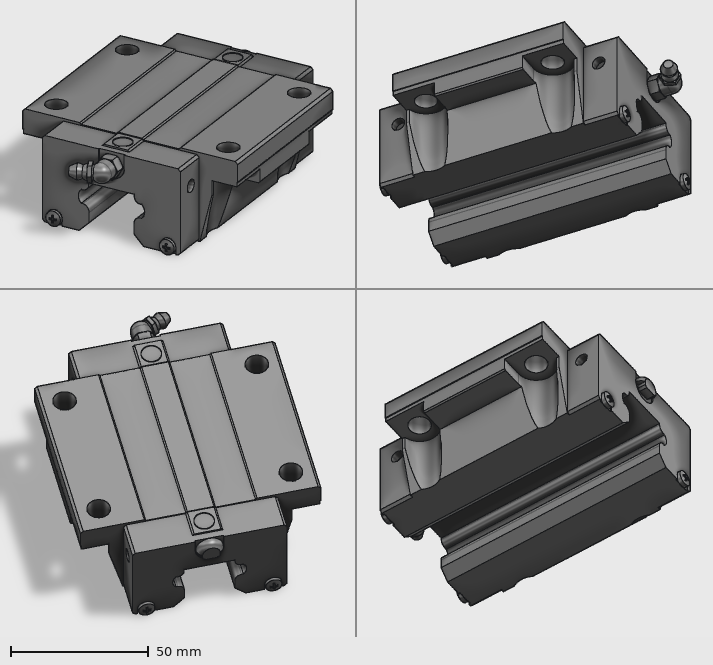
import cadquery as cq
import math


overall_length = 113.5
overall_width = 90.0

block_length = 69.9
block_height = 36.0
block_foot_half_width = 29.2
flange_half_width = overall_width / 2
flange_bottom = 20.2
flange_root_half_width = 34.3
flange_step_height = 27.6
flange_step = 0.3
flange_top_chamfer = 1.0
flange_bottom_chamfer = 0.6

groove_depth = 0.6
groove_outer = 21.1
rib_half_width = 5.0

hole_diameter = 8.5
hole_x = 36.0
hole_y = 26.0
clearance_radius = 8.0
clearance_top = 25.9

channel_top = flange_bottom
channel_top_half_width = 9.5
nose_half_width = 11.9
nose_start = 19.5
race_mouth_half_width = 12.6
race_half_width = 13.8
race_top = 16.8
race_bottom = 11.2
race_height = (race_top + race_bottom) / 2
throat_half_width = 9.4
throat_top = 8.2
throat_bottom = 4.1

end_width = 57.8
end_half_width = end_width / 2
end_height = 35.0
end_chamfer = 1.0
cap_end = 45.5
plate_end = 48.7
cap_rib_height = 35.6
cap_recess_diameter = 7.5
cap_recess_depth = 0.3
cap_recess_y = 40.3
port_diameter = 5.1
port_depth = 3.2
port_y = 41.1
port_z = 25.1

pocket_depth = 0.6
fitting_pocket_radius = 5.3
fitting_z = 29.6
screw_pocket_radius = 3.2

screw_spacing = 47.6
screw_x = screw_spacing / 2
screw_z = 2.7
screw_radius = 3.1
screw_rim_end = 49.8
screw_crown_end = 50.5
crown_fullness = 0.75
cross_length = 3.0
cross_width = 0.7
cross_depth = 0.6

nipple_hex_flats = 8.2
nipple_hex_end = 52.3
hex_corner_chamfer = 0.3
elbow_radius = 4.0
elbow_reach = 55.7
elbow_y = -elbow_reach
arm_angle = 22.5
collar_flats = 6.9
collar_start = 3.4
collar_end = 5.1
flare_radius = 3.2
neck_end = 6.9
neck_radius = 2.4
bulge_end = 9.0
bulge_radius = 3.2
tip_end = 11.9
tip_radius = 1.8
curve_fullness = 0.7

arm_drop = math.radians(arm_angle)
nipple_reach = elbow_reach + bulge_end * math.sin(arm_drop) + bulge_radius * math.cos(arm_drop)
plug_end = overall_length - nipple_reach
plug_base_radius = 5.1
plug_tip_radius = 3.3
plug_fullness = 0.87
plug_foot_height = 2.5
plug_foot_chamfer = 0.9

sides = (-1, 1)
ends = (-1, 1)
plate_seat = plate_end - pocket_depth


def xz():
    return cq.Workplane("XZ")


def along_y(profile, start, stop):
    """Extrude a closed XZ profile from Y = start to Y = stop."""
    return profile.extrude(start - stop).translate((0, start, 0))


def mirrored(points):
    """Close a right-hand half outline by adding its mirror image."""
    return points + [(-x, z) for x, z in reversed(points)]


def block():
    inner = flange_half_width - flange_step
    half = [
        (block_foot_half_width, 0),
        (flange_root_half_width, flange_bottom),
        (inner - flange_bottom_chamfer, flange_bottom),
        (inner, flange_bottom + flange_bottom_chamfer),
        (inner, flange_step_height),
        (flange_half_width, flange_step_height),
        (flange_half_width, block_height - flange_top_chamfer),
        (flange_half_width - flange_top_chamfer, block_height),
        (groove_outer, block_height),
        (groove_outer - groove_depth, block_height - groove_depth),
        (rib_half_width + groove_depth, block_height - groove_depth),
        (rib_half_width, block_height),
    ]
    body = along_y(xz().polyline(mirrored(half)).close(), -block_length / 2, block_length / 2)
    for side in sides:
        for end in ends:
            body = body.cut(flange_clearance(side, end))
    holes = (
        cq.Workplane("XY")
        .rect(2 * hole_x, 2 * hole_y, forConstruction=True)
        .vertices()
        .circle(hole_diameter / 2)
        .extrude(block_height)
    )
    return body.cut(holes)


def flange_clearance(side, end):
    """Round cut around a mounting hole, opening to the flange edge and the block end."""
    reach = flange_half_width - hole_x + clearance_radius
    round_cut = cq.Workplane("XY").circle(clearance_radius).extrude(clearance_top)
    edge_cut = (
        cq.Workplane("XY")
        .rect(reach, 2 * clearance_radius)
        .extrude(clearance_top)
        .translate((side * reach / 2, 0, 0))
    )
    end_cut = (
        cq.Workplane("XY", origin=(0, 0, flange_bottom))
        .rect(2 * (hole_x - flange_root_half_width), 2 * clearance_radius)
        .extrude(clearance_top - flange_bottom)
        .translate((0, end * clearance_radius, 0))
    )
    corner_cut = edge_cut.translate((0, end * clearance_radius, 0))
    cut = round_cut.union(edge_cut).union(end_cut).union(corner_cut)
    return cut.translate((side * hole_x, end * hole_y, 0))


def end_body():
    """Both end caps and seal plates, with the space for the block left open between them."""
    bar = along_y(xz().rect(end_width, end_height), -plate_end, plate_end)
    bar = bar.edges("|Y").chamfer(end_chamfer).translate((0, 0, end_height / 2))
    rise = cap_rib_height - end_height
    half = [
        (rib_half_width + 2 * rise, end_height - rise),
        (rib_half_width, cap_rib_height),
    ]
    bar = bar.union(along_y(xz().polyline(mirrored(half)).close(), -cap_end, cap_end))
    middle = cq.Workplane("XY").box(end_width, block_length, 3 * block_height)
    return bar.cut(middle)


def channel():
    """Rail channel with a ball race on each side."""
    diagonal = math.sqrt(0.5)
    nose_width = nose_half_width - channel_top_half_width
    lip_width = nose_half_width - throat_half_width
    nose_mid = (nose_half_width - nose_width * diagonal, nose_start - (nose_start - race_top) * diagonal)
    lip_mid = (nose_half_width - lip_width * diagonal, throat_top + (race_bottom - throat_top) * diagonal)
    half = (
        xz()
        .moveTo(0, channel_top)
        .lineTo(channel_top_half_width, channel_top)
        .lineTo(channel_top_half_width, nose_start)
        .threePointArc(nose_mid, (nose_half_width, race_top))
        .lineTo(race_mouth_half_width, race_top)
        .threePointArc((race_half_width, race_height), (race_mouth_half_width, race_bottom))
        .lineTo(nose_half_width, race_bottom)
        .threePointArc(lip_mid, (throat_half_width, throat_top))
        .lineTo(throat_half_width, throat_bottom)
        .lineTo(throat_half_width + throat_bottom, 0)
        .lineTo(0, 0)
        .close()
    )
    right = along_y(half, -plate_end, plate_end)
    return right.union(right.mirror("YZ"))


def cap_recesses(end):
    """Round recess on top of a cap and a blind port in each of its sides."""
    cut = (
        cq.Workplane("XY", origin=(0, end * cap_recess_y, cap_rib_height - cap_recess_depth))
        .circle(cap_recess_diameter / 2)
        .extrude(cap_recess_depth)
    )
    for side in sides:
        port = (
            cq.Workplane("YZ", origin=(side * end_half_width, end * port_y, port_z))
            .circle(port_diameter / 2)
            .extrude(-side * port_depth)
        )
        cut = cut.union(port)
    return cut


def plate_pocket(end, x, z, radius, open_to):
    """Pocket in a seal plate: round at (x, z) and open straight up or down to Z = open_to."""
    outer = end * plate_end
    inner = end * plate_seat
    round_part = along_y(xz().center(x, z).circle(radius), inner, outer)
    middle_z = (z + open_to) / 2
    slot = along_y(xz().center(x, middle_z).rect(2 * radius, abs(open_to - z)), inner, outer)
    return round_part.union(slot)


def screw():
    """Cross-recessed screw head on its own axis, pointing along +Y."""
    crown_mid = (screw_radius / 2, screw_rim_end + (screw_crown_end - screw_rim_end) * crown_fullness)
    head = (
        cq.Workplane("XY")
        .moveTo(0, plate_seat)
        .lineTo(screw_radius, plate_seat)
        .lineTo(screw_radius, screw_rim_end)
        .threePointArc(crown_mid, (0, screw_crown_end))
        .close()
        .revolve(360, (0, 0, 0), (0, 1, 0))
    )
    for size in ((cross_length, cross_width), (cross_width, cross_length)):
        head = head.cut(along_y(xz().rect(*size), screw_crown_end - cross_depth, screw_crown_end))
    return head


def plug():
    """Rear plug: a domed upper half on a chamfered foot."""
    rise = plug_end - plate_seat
    mid_radius = plug_tip_radius + (plug_base_radius - plug_tip_radius) * plug_fullness
    upper_half = cq.Workplane("XY").box(
        4 * plug_base_radius, 3 * plug_end, 2 * plug_base_radius, centered=(True, True, False)
    )
    dome = (
        cq.Workplane("XY")
        .moveTo(0, plate_seat)
        .lineTo(plug_base_radius, plate_seat)
        .threePointArc((mid_radius, plate_seat + rise / 2), (plug_tip_radius, plug_end))
        .lineTo(0, plug_end)
        .close()
        .revolve(360, (0, 0, 0), (0, 1, 0))
        .intersect(upper_half)
    )
    foot = cq.Workplane("XY").box(
        2 * plug_tip_radius, rise, plug_foot_height, centered=(True, False, False)
    )
    foot = foot.edges("|Y and <Z").chamfer(plug_foot_chamfer)
    return dome.union(foot.translate((0, plate_seat, -plug_foot_height))).translate((0, 0, fitting_z))


def corner_diameter(flats):
    return flats / math.cos(math.radians(30))


def hexagon(flats, start, stop):
    """Hexagon bar along Y with flats on top and bottom."""
    return along_y(xz().polygon(6, corner_diameter(flats)), start, stop)


def nipple():
    """Angled grease nipple: hexagon base, rounded elbow and a level arm."""
    base_circle = xz().circle(corner_diameter(nipple_hex_flats) / 2)
    turned = along_y(base_circle, -nipple_hex_end, -plate_seat).edges().chamfer(hex_corner_chamfer)
    base = hexagon(nipple_hex_flats, -nipple_hex_end, -plate_seat).intersect(turned)
    elbow = along_y(xz().circle(elbow_radius), -plate_seat, elbow_y)
    elbow = elbow.union(cq.Workplane("XY").sphere(elbow_radius).translate((0, elbow_y, 0)))
    collar = hexagon(collar_flats, collar_start, collar_end)
    neck_mid = (neck_radius + (flare_radius - neck_radius) * curve_fullness, (collar_end + neck_end) / 2)
    bulge_mid = (neck_radius + (bulge_radius - neck_radius) * curve_fullness, (neck_end + bulge_end) / 2)
    stem = (
        cq.Workplane("XY")
        .lineTo(neck_radius, 0)
        .lineTo(flare_radius, collar_end)
        .threePointArc(neck_mid, (neck_radius, neck_end))
        .threePointArc(bulge_mid, (bulge_radius, bulge_end))
        .lineTo(tip_radius, tip_end)
        .lineTo(0, tip_end)
        .close()
        .revolve(360, (0, 0, 0), (0, 1, 0))
    )
    arm = collar.union(stem).rotate((0, 0, 0), (0, 0, 1), 90 + arm_angle)
    arm = arm.translate((0, elbow_y, 0))
    return base.union(elbow).union(arm).translate((0, 0, fitting_z))


carriage = block().union(end_body()).cut(channel())
for end in ends:
    carriage = carriage.cut(cap_recesses(end))
    carriage = carriage.cut(plate_pocket(end, 0, fitting_z, fitting_pocket_radius, block_height))
    turn = 0 if end > 0 else 180
    for side in sides:
        x = side * screw_x
        carriage = carriage.cut(plate_pocket(end, x, screw_z, screw_pocket_radius, 0))
        head = screw().rotate((0, 0, 0), (0, 0, 1), turn)
        carriage = carriage.union(head.translate((x, 0, screw_z)))

result = carriage.union(plug()).union(nipple())